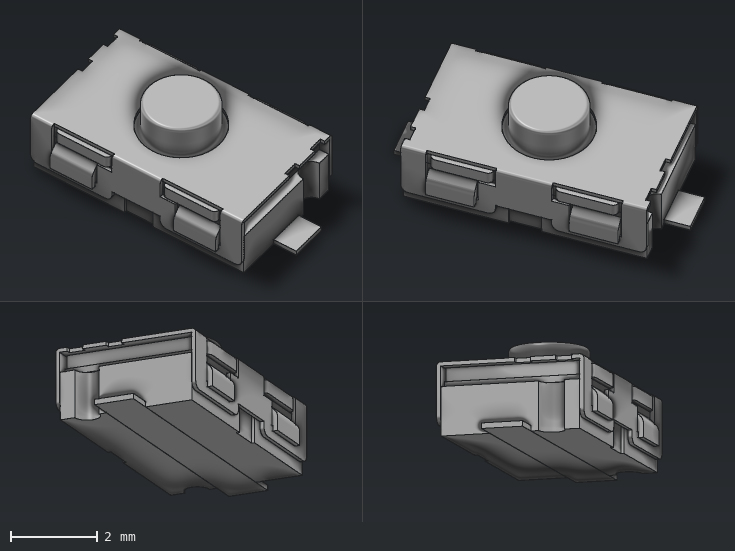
import cadquery as cq
import math

overall_length = 7.3
overall_width = 3.84
overall_height = 2.5

housing_length = 6.0
housing_width = 3.37
ledge_height = 1.17
rim_length = 5.46
rim_height = 1.33
scallop_radius = 0.315
scallop_y = 1.0
recess_width = 0.81
recess_depth = 0.07

clip_width = 1.2
clip_inner_x = 1.17
clip_bottom = 0.505
clip_nose_radius = 0.225
lead_in_angle = 45.0

strip_width = 1.0
strip_thickness = 0.13

cover_length = 6.045
cover_width = 3.59
cover_top = 1.75
sheet_thickness = 0.1
cover_bottom = 0.285
cover_corner_radius = 0.2
leg_gap_width = 1.38
leg_gap_top = 0.6
window_inner_x = 0.69
window_outer_x = 2.41
window_shoulder_x = 1.12
window_shoulder_z = 1.235
window_sill_z = 0.635
notch_depth = 0.125
notch_width = 0.395
notch_centers_y = [0.3, 1.3]

button_diameter = 1.9
button_hole_diameter = 2.2
button_edge_radius = 0.1
plate_corner_radius = 0.12
tab_corner_radius = 0.14
tab_inner_x = 0.77
tab_outer_x = 2.31
tab_reach_y = 1.825

SIDES = [-1, 1]

cover_inner_width = cover_width - 2 * sheet_thickness
plate_top = cover_top - sheet_thickness
button_foot_radius = (button_hole_diameter - button_diameter) / 2


def box(x0, x1, y0, y1, z0, z1):
    """Axis-aligned block between two corners given in any order."""
    block = cq.Workplane("XY").box(abs(x1 - x0), abs(y1 - y0), abs(z1 - z0))
    return block.translate(((x0 + x1) / 2, (y0 + y1) / 2, (z0 + z1) / 2))


def centered_block(length, width, bottom, top):
    """Block centred on the Z axis."""
    return box(-length / 2, length / 2, -width / 2, width / 2, bottom, top)


def make_strip():
    """Flat terminal strip that runs through the housing floor and sticks out at both ends."""
    return centered_block(overall_length, strip_width, 0, strip_thickness)


def make_clip(x_side, y_side):
    """Clip with a sloping lead-in face that ends in a rounded nose."""
    root_y = housing_width / 2
    tip_y = overall_width / 2
    nose_z = ledge_height - (tip_y - root_y) / math.tan(math.radians(lead_in_angle))
    half_turn = math.radians(lead_in_angle / 2)
    nose_tangent = clip_nose_radius * math.tan(half_turn)
    nose_top_y = tip_y - nose_tangent * math.sin(math.radians(lead_in_angle))
    nose_top_z = nose_z + nose_tangent * math.cos(math.radians(lead_in_angle))
    nose_center = (tip_y - clip_nose_radius, nose_z - nose_tangent)
    nose_middle = (
        nose_center[0] + clip_nose_radius * math.cos(half_turn),
        nose_center[1] + clip_nose_radius * math.sin(half_turn),
    )
    clip = (
        cq.Workplane("YZ")
        .moveTo(root_y, clip_bottom)
        .lineTo(tip_y, clip_bottom)
        .lineTo(tip_y, nose_z - nose_tangent)
        .threePointArc(nose_middle, (nose_top_y, nose_top_z))
        .lineTo(root_y, ledge_height)
        .close()
        .extrude(clip_width)
        .translate((clip_inner_x, 0, 0))
    )
    if x_side < 0:
        clip = clip.mirror("YZ")
    if y_side < 0:
        clip = clip.mirror("XZ")
    return clip


def make_housing():
    """Stepped block with end scallops, side recesses, four clips and a slot for the strip."""
    housing = centered_block(housing_length, housing_width, 0, ledge_height)
    for side in SIDES:
        scallop = (
            cq.Workplane("XY")
            .center(side * housing_length / 2, scallop_y)
            .circle(scallop_radius)
            .extrude(ledge_height)
        )
        housing = housing.cut(scallop)
    housing = housing.union(centered_block(rim_length, housing_width, ledge_height, rim_height))
    for side in SIDES:
        wall_y = side * housing_width / 2
        recess_y = wall_y - side * recess_depth
        housing = housing.cut(box(-recess_width / 2, recess_width / 2, recess_y, wall_y, 0, rim_height))
    for x_side in SIDES:
        for y_side in SIDES:
            housing = housing.union(make_clip(x_side, y_side))
    return housing.cut(make_strip())


def cut_window(cover, x_side, y_side):
    """Open one stepped window in a cover wall; its lowest part fits around a clip."""
    inner_y = y_side * cover_inner_width / 2
    outer_y = y_side * cover_width / 2
    openings = [
        (window_inner_x, window_outer_x, window_shoulder_z, cover_top),
        (window_shoulder_x, window_outer_x, window_sill_z, window_shoulder_z),
        (clip_inner_x, clip_inner_x + clip_width, clip_bottom, window_sill_z),
    ]
    for x0, x1, z0, z1 in openings:
        cover = cover.cut(box(x_side * x0, x_side * x1, inner_y, outer_y, z0, z1))
    return cover


def cut_end_notches(cover, x_side):
    """Cut the notches in one end edge of the cover roof."""
    edge_x = x_side * cover_length / 2
    for notch_y in notch_centers_y:
        notch = box(
            edge_x - x_side * notch_depth,
            edge_x,
            notch_y - notch_width / 2,
            notch_y + notch_width / 2,
            plate_top,
            cover_top,
        )
        cover = cover.cut(notch)
    return cover


def make_leg_gap():
    """Gap between the two rounded legs of each cover wall, passing through both walls."""
    return centered_block(leg_gap_width, cover_width, cover_bottom, leg_gap_top)


def make_cover():
    """Bent sheet cover: a roof with two side walls, open at both ends."""
    shell = centered_block(cover_length, cover_width, cover_bottom, cover_top)
    shell = shell.edges("|X and >Z").fillet(sheet_thickness)
    cover = shell.cut(centered_block(cover_length, cover_inner_width, cover_bottom, plate_top))
    cover = cover.cut(make_leg_gap())
    cover = cover.faces("<Z").edges("|Y").fillet(cover_corner_radius)
    for x_side in SIDES:
        for y_side in SIDES:
            cover = cut_window(cover, x_side, y_side)
        cover = cut_end_notches(cover, x_side)
    hole = cq.Workplane("XY").workplane(offset=plate_top).circle(button_hole_diameter / 2)
    return cover.cut(hole.extrude(sheet_thickness))


def make_tab(x_side, y_side):
    """Rounded tab of the button plate that reaches through a cover window."""
    tab = box(
        x_side * tab_inner_x, x_side * tab_outer_x, 0, y_side * tab_reach_y, rim_height, plate_top
    )
    outer_face = ">Y" if y_side > 0 else "<Y"
    return tab.faces(outer_face).edges("|Z").fillet(tab_corner_radius)


def make_button():
    """Round button that flares into a plate held under the cover roof."""
    plate = centered_block(rim_length, housing_width, rim_height, plate_top)
    plate = plate.edges("|Z").fillet(plate_corner_radius)
    for x_side in SIDES:
        for y_side in SIDES:
            plate = plate.union(make_tab(x_side, y_side))

    radius = button_diameter / 2
    arc_inset = 1 - math.sqrt(0.5)
    foot_middle = (
        radius + button_foot_radius * arc_inset,
        plate_top + button_foot_radius * arc_inset,
    )
    edge_middle = (
        radius - button_edge_radius * arc_inset,
        overall_height - button_edge_radius * arc_inset,
    )
    stem = (
        cq.Workplane("XZ")
        .moveTo(0, rim_height)
        .lineTo(button_hole_diameter / 2, rim_height)
        .lineTo(button_hole_diameter / 2, plate_top)
        .threePointArc(foot_middle, (radius, plate_top + button_foot_radius))
        .lineTo(radius, overall_height - button_edge_radius)
        .threePointArc(edge_middle, (radius - button_edge_radius, overall_height))
        .lineTo(0, overall_height)
        .close()
        .revolve(360, (0, 0, 0), (0, 1, 0))
    )
    return plate.union(stem)


housing = make_housing()
strip = make_strip()
button = make_button()
cover = make_cover()

result = cq.Compound.makeCompound([housing.val(), strip.val(), button.val(), cover.val()])